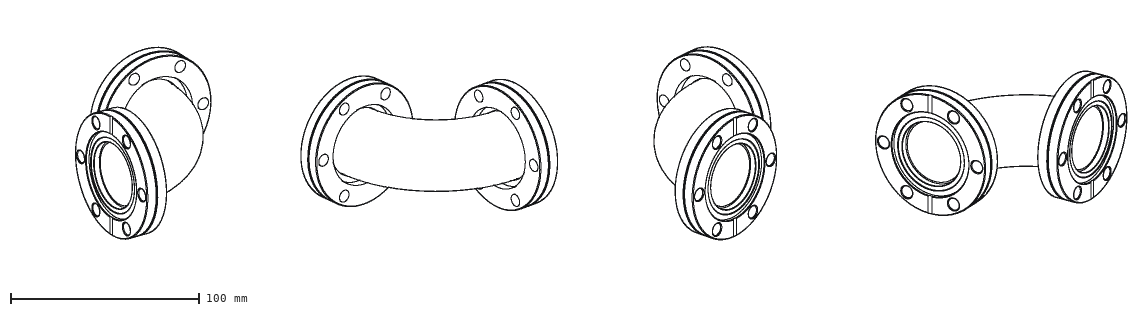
import cadquery as cq
import math


face_distance = 62.46
bend_radius = 57.15
tube_diameter = 38.1
tube_bore = 34.8
tube_end_depth = 4.7

ring_diameter = 69.3
ring_thickness = 12.75
edge_chamfer = 0.45
recess_chamfer = 0.35
recess_diameter = 48.31
lip_bore = 45.21
shoulder_depth = 7.7
rim_groove_width = 0.8
rim_groove_depth = 0.3
bolt_count = 6
bolt_circle = 58.7
bolt_diameter = 6.73
leak_groove_width = 2.4
leak_groove_depth = 0.6

insert_diameter = 48.21
insert_bore = 36.6
socket_diameter = 38.61
knife_diameter = 42.1
knife_depth = 0.9
knife_bevel = 0.3
bore_chamfer = 0.25
knife_slope = 20


def make_ring():
    radius = ring_diameter / 2
    recess_radius = recess_diameter / 2
    groove_front = (ring_thickness - rim_groove_width) / 2
    groove_back = groove_front + rim_groove_width
    ring = (
        cq.Workplane("XZ")
        .moveTo(recess_radius, -recess_chamfer)
        .lineTo(recess_radius + recess_chamfer, 0)
        .lineTo(radius - edge_chamfer, 0)
        .lineTo(radius, -edge_chamfer)
        .lineTo(radius, -groove_front)
        .lineTo(radius - rim_groove_depth, -groove_front)
        .lineTo(radius - rim_groove_depth, -groove_back)
        .lineTo(radius, -groove_back)
        .lineTo(radius, edge_chamfer - ring_thickness)
        .lineTo(radius - edge_chamfer, -ring_thickness)
        .lineTo(lip_bore / 2, -ring_thickness)
        .lineTo(lip_bore / 2, -shoulder_depth)
        .lineTo(recess_radius, -shoulder_depth)
        .close()
        .revolve(360, (0, 0, 0), (0, 1, 0))
    )
    return cut_leak_grooves(cut_bolt_holes(ring))


def cut_bolt_holes(ring):
    hole_radius = bolt_diameter / 2
    hole = (
        cq.Workplane("XZ")
        .lineTo(hole_radius + edge_chamfer, 0)
        .lineTo(hole_radius, -edge_chamfer)
        .lineTo(hole_radius, -ring_thickness)
        .lineTo(0, -ring_thickness)
        .close()
        .revolve(360, (0, 0, 0), (0, 1, 0))
        .translate((0, bolt_circle / 2, 0))
    )
    for i in range(bolt_count):
        ring = ring.cut(hole.rotate((0, 0, 0), (0, 0, 1), i * 360 / bolt_count))
    return ring


def cut_leak_grooves(ring):
    half_width = leak_groove_width / 2
    groove_radius = (half_width**2 + leak_groove_depth**2) / (2 * leak_groove_depth)
    groove = (
        cq.Workplane("YZ")
        .center(0, groove_radius - leak_groove_depth)
        .circle(groove_radius)
        .extrude(ring_diameter / 2, both=True)
    )
    return ring.cut(groove)


def make_insert():
    knife_radius = knife_diameter / 2
    insert_radius = insert_diameter / 2
    bore_radius = insert_bore / 2
    flat_depth = knife_depth + knife_bevel
    slope_drop = (insert_radius - knife_radius) * math.tan(math.radians(knife_slope))
    return (
        cq.Workplane("XZ")
        .moveTo(bore_radius, -flat_depth - bore_chamfer)
        .lineTo(bore_radius + bore_chamfer, -flat_depth)
        .lineTo(knife_radius - knife_bevel, -flat_depth)
        .lineTo(knife_radius, -knife_depth)
        .lineTo(insert_radius, -knife_depth - slope_drop)
        .lineTo(insert_radius, -shoulder_depth)
        .lineTo(socket_diameter / 2, -shoulder_depth)
        .lineTo(socket_diameter / 2, -tube_end_depth)
        .lineTo(bore_radius, -tube_end_depth)
        .close()
        .revolve(360, (0, 0, 0), (0, 1, 0))
    )


def make_tube():
    tube_end = face_distance - tube_end_depth
    bend_middle = bend_radius * (math.sqrt(0.5) - 1)
    path = (
        cq.Workplane("XY")
        .moveTo(-tube_end, 0)
        .lineTo(-bend_radius, 0)
        .threePointArc((bend_middle, bend_middle), (0, -bend_radius))
        .lineTo(0, -tube_end)
    )
    return (
        cq.Workplane("YZ", origin=(-tube_end, 0, 0))
        .circle(tube_diameter / 2)
        .circle(tube_bore / 2)
        .sweep(path)
    )


ports = [
    cq.Plane(origin=(-face_distance, 0, 0), xDir=(0, 0, 1), normal=(-1, 0, 0)),
    cq.Plane(origin=(0, -face_distance, 0), xDir=(0, 0, 1), normal=(0, -1, 0)),
]

tube = make_tube()
rings = [make_ring().val().moved(cq.Location(port)) for port in ports]
inserts = [make_insert().val().moved(cq.Location(port)) for port in ports]

result = cq.Compound.makeCompound([tube.val(), *rings, *inserts])